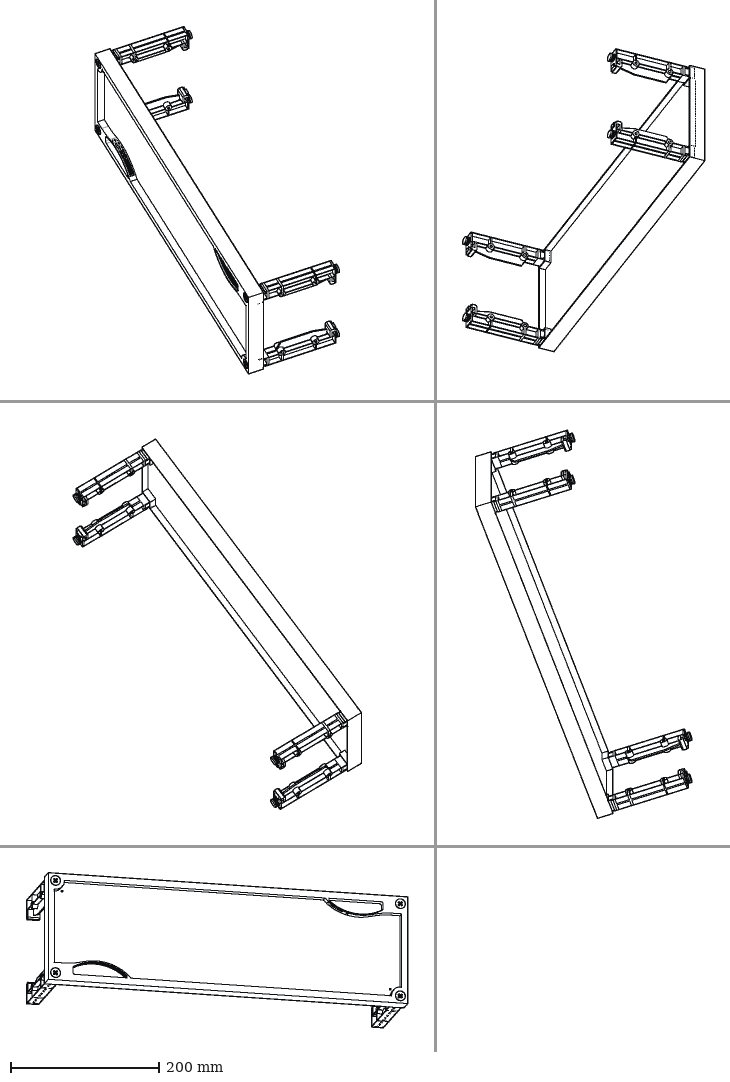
import cadquery as cq
import math


PANEL_LENGTH = 500.0
PANEL_HEIGHT = 150.0
PANEL_DEPTH = 22.5
WALL = 1.75
HALF_LENGTH = PANEL_LENGTH / 2
HALF_HEIGHT = PANEL_HEIGHT / 2

TRAY_DEPTH = 10.0
TRAY_SIDE_MARGIN = 8.5
TRAY_END_MARGIN = 9.5
PLATE_BACK = 13.5

SCREW_INSET = 10.25
CORNER_RADIUS = 12.25
SOCKET_SIZE = 20.5
SOCKET_FLOOR = 15.0

GRIP_CENTRE_INSET = 66.5
GRIP_TOP = 30.5
GRIP_RADIUS = 67.0
GRIP_RIM = 1.75
GRIP_LEFT_INSET = 34.5
GRIP_RIGHT_INSET = 109.5
GRIP_CORNER_RADIUS = 2.5
LEDGE_HEIGHT = 24.5
LEDGE_BLEND_RADIUS = 100.0

RIM_GROOVE_COUNT = 3
RIM_GROOVE_PITCH = 2.5
RIM_GROOVE_WIDTH = 1.0
RIM_GROOVE_DEPTH = 0.25

MARKER_INSET = 21.75
MARKER_RADIUS = 1.0
MARKER_DEPTH = 1.5

HEAD_RADIUS = 6.75
HEAD_DEPTH = 5.0
DOME_HEIGHT = 1.0
SHANK_RADIUS = 3.5
CROSS_LENGTH = 6.5
CROSS_WIDTH = 1.5
CROSS_DEPTH = 2.5

LEG_INSET = 2.0
LEG_WIDTH = 16.5
LEG_DEPTH = 15.5
LEG_START = 25.5
LEG_END = 131.0
WEB_THICKNESS = 2.0
OUTER_FLANGE = 1.0
INNER_FLANGE = 1.0
END_PLATE = 2.0
FOOT_PLATE_START = 28.5
FOOT_PLATE_END = 31.5

FOOT_TOP = 3.5
FOOT_ARM = 2.0
FOOT_BASE = 3.0

RIBS = [(101.0, 1.5, 1.5), (51.0, 3.0, 2.0)]
BOSS_RADIUS = 4.75
BOSS_INSET = 17.25

BLADE_BOTTOM = 30.5
BLADE_FLAT_START = 52.5
BLADE_FLAT_END = 100.0
BLADE_START = 45.0
BLADE_END = 120.5
BLADE_TIP_INSET = 26.0

HOOK_START = 122.0
HOOK_ARM = 3.0
HOOK_FLOOR = 5.0
HOOK_CHAMFER = 2.0
HOOK_FRONT_STEP = 1.5
LIP_REACH = 1.5
LIP_INSET = 4.0
LIP_TOP = 24.0

BUTTON_END = 137.0
BUTTON_LENGTH = 12.5
BUTTON_HEIGHT = 9.5
BUTTON_INSET = 12.25
GROOVE_START = 132.5
GROOVE_END = 134.5
GROOVE_DEPTH = 1.5

LEG_TOP = HALF_HEIGHT - LEG_INSET
LEG_BOTTOM = LEG_TOP - LEG_DEPTH
LEG_LEFT = -HALF_LENGTH + LEG_INSET
LEG_RIGHT = LEG_LEFT + LEG_WIDTH
LEG_CENTRE_X = LEG_LEFT + LEG_WIDTH / 2
SCREW_X = HALF_LENGTH - SCREW_INSET
SCREW_Z = HALF_HEIGHT - SCREW_INSET
GRIP_CENTRE_X = GRIP_CENTRE_INSET - HALF_LENGTH
GRIP_CENTRE_Z = GRIP_TOP - GRIP_RADIUS - HALF_HEIGHT


def block(x_start, x_end, y_start, y_end, z_start, z_end):
    """Box given by its limits along each axis."""
    size = (x_end - x_start, y_end - y_start, z_end - z_start)
    return cq.Workplane("XY").box(*size, centered=False).translate((x_start, y_start, z_start))


def extrude_back(sketch, y_start, y_end):
    """Extrude an XZ sketch drawn at y = 0 so that it fills y_start to y_end."""
    return sketch.extrude(y_start - y_end).translate((0, y_start, 0))


def along_x(sketch, x_start, x_end):
    """Extrude a YZ sketch drawn at x = 0 so that it fills x_start to x_end."""
    return sketch.extrude(x_end - x_start).translate((x_start, 0, 0))


def cylinder_back(x, z, radius, y_start, y_end):
    return extrude_back(cq.Workplane("XZ").center(x, z).circle(radius), y_start, y_end)


def half_turn(shape):
    """Copy of a shape turned half a turn about the middle of the panel."""
    return shape.rotate((0, 0, 0), (0, 1, 0), 180)


def in_corners(shape):
    """The shape mirrored into all four corners of the panel."""
    left = [shape, shape.mirror("XY")]
    return left + [copy.mirror("YZ") for copy in left]


def grip_block(radius, left, y_start, y_end):
    """Block whose arched top is a circle about the centre of the finger grip."""
    disc = cylinder_back(GRIP_CENTRE_X, GRIP_CENTRE_Z, radius, y_start, y_end)
    right = GRIP_CENTRE_X + radius
    base = TRAY_END_MARGIN - HALF_HEIGHT
    return disc.intersect(block(left, right, y_start, y_end, base, GRIP_CENTRE_Z + radius))


def grip_surround(left, base):
    """Material kept around a finger grip: an arch blending into a ledge at the panel end."""
    ledge_z = LEDGE_HEIGHT - HALF_HEIGHT
    ledge = block(left, GRIP_CENTRE_X, 0, TRAY_DEPTH, base, ledge_z)
    surround = grip_block(GRIP_RADIUS, left, 0, TRAY_DEPTH).union(ledge)
    half_chord = math.sqrt(GRIP_RADIUS**2 - (ledge_z - GRIP_CENTRE_Z) ** 2)
    meeting_point = (GRIP_CENTRE_X - half_chord, TRAY_DEPTH / 2, ledge_z)
    meeting_edge = cq.selectors.NearestToPointSelector(meeting_point)
    return surround.edges("|Y").edges(meeting_edge).fillet(LEDGE_BLEND_RADIUS)


def tray():
    """Front recess, leaving material at two screws and around the two finger grips."""
    side = HALF_LENGTH - TRAY_SIDE_MARGIN
    end = HALF_HEIGHT - TRAY_END_MARGIN
    body = block(-side, side, 0, TRAY_DEPTH, -end, end)
    boss = cylinder_back(-SCREW_X, SCREW_Z, CORNER_RADIUS, 0, TRAY_DEPTH)
    boss_side = block(-side, -SCREW_X, 0, TRAY_DEPTH, SCREW_Z - CORNER_RADIUS, end)
    kept = grip_surround(-side, -end).union(boss).union(boss_side)
    return body.cut(kept).cut(half_turn(kept))


def grip_pocket():
    """Pocket behind the arched rim, with grooves running along the rim."""
    left = GRIP_LEFT_INSET - HALF_LENGTH
    right = GRIP_RIGHT_INSET - HALF_LENGTH
    stop = block(right, HALF_LENGTH, 0, TRAY_DEPTH, -HALF_HEIGHT, HALF_HEIGHT)
    inner_radius = GRIP_RADIUS - GRIP_RIM
    pocket = grip_block(inner_radius, left, 0, TRAY_DEPTH).cut(stop)
    pocket = pocket.edges("|Y and <X").fillet(GRIP_CORNER_RADIUS)
    for number in range(1, RIM_GROOVE_COUNT + 1):
        y = number * RIM_GROOVE_PITCH
        groove = grip_block(
            inner_radius + RIM_GROOVE_DEPTH, left + GRIP_CORNER_RADIUS, y, y + RIM_GROOVE_WIDTH
        )
        pocket = pocket.union(groove.cut(stop))
    return pocket


def back_cavity():
    """Hollow behind the plate, leaving a square socket in every corner."""
    x = HALF_LENGTH - WALL
    z = HALF_HEIGHT - WALL
    cavity = block(-x, x, PLATE_BACK, PANEL_DEPTH, -z, z)
    socket_x = SOCKET_SIZE - HALF_LENGTH
    socket_z = HALF_HEIGHT - SOCKET_SIZE
    socket = block(-HALF_LENGTH, socket_x, PLATE_BACK, PANEL_DEPTH, socket_z, HALF_HEIGHT)
    opening = block(-x, socket_x - WALL, SOCKET_FLOOR, PANEL_DEPTH, socket_z + WALL, z)
    for corner in in_corners(socket.cut(opening)):
        cavity = cavity.cut(corner)
    return cavity


def screw_hole():
    head = cylinder_back(-SCREW_X, SCREW_Z, HEAD_RADIUS, 0, HEAD_DEPTH)
    return head.union(cylinder_back(-SCREW_X, SCREW_Z, SHANK_RADIUS, 0, SOCKET_FLOOR))


def make_panel():
    body = block(-HALF_LENGTH, HALF_LENGTH, 0, PANEL_DEPTH, -HALF_HEIGHT, HALF_HEIGHT)
    body = body.cut(tray()).cut(back_cavity())
    marker_x = MARKER_INSET - HALF_LENGTH
    marker_z = HALF_HEIGHT - MARKER_INSET
    marker_end = TRAY_DEPTH + MARKER_DEPTH
    marker = cylinder_back(marker_x, marker_z, MARKER_RADIUS, TRAY_DEPTH, marker_end)
    for cutter in (grip_pocket(), marker):
        body = body.cut(cutter).cut(half_turn(cutter))
    for hole in in_corners(screw_hole()):
        body = body.cut(hole)
    return body


def make_screw():
    """Domed screw with a diagonal cross recess."""
    outline = (
        cq.Workplane("XY")
        .moveTo(0, 0)
        .threePointArc((HEAD_RADIUS / 2, DOME_HEIGHT / 4), (HEAD_RADIUS, DOME_HEIGHT))
        .lineTo(HEAD_RADIUS, HEAD_DEPTH)
        .lineTo(SHANK_RADIUS, HEAD_DEPTH)
        .lineTo(SHANK_RADIUS, SOCKET_FLOOR)
        .lineTo(0, SOCKET_FLOOR)
        .close()
    )
    screw = outline.revolve(360, (0, 0, 0), (0, 1, 0))
    for angle in (45, 135):
        slot = cq.Workplane("XY").box(CROSS_LENGTH, 2 * CROSS_DEPTH, CROSS_WIDTH)
        screw = screw.cut(slot.rotate((0, 0, 0), (0, 1, 0), angle))
    return screw.translate((-SCREW_X, 0, SCREW_Z))


def across(y_start, y_end, z_start, z_end):
    """Part of the leg that spans its whole width."""
    return block(LEG_LEFT, LEG_RIGHT, y_start, y_end, z_start, z_end)


def web_plate(points):
    """Plate in the middle plane of the leg, from (y, inset from the panel top) points."""
    sketch = cq.Workplane("YZ").polyline([(y, HALF_HEIGHT - inset) for y, inset in points]).close()
    return along_x(sketch, LEG_CENTRE_X - WEB_THICKNESS / 2, LEG_CENTRE_X + WEB_THICKNESS / 2)


def leg_beam():
    """I-shaped beam closed by a plate at each end."""
    top = across(LEG_START, LEG_END, LEG_TOP - OUTER_FLANGE, LEG_TOP)
    bottom = across(FOOT_PLATE_START, LEG_END, LEG_BOTTOM, LEG_BOTTOM + INNER_FLANGE)
    foot_plate = across(FOOT_PLATE_START, FOOT_PLATE_END, LEG_BOTTOM, LEG_TOP)
    end_plate = across(LEG_END - END_PLATE, LEG_END, LEG_BOTTOM, LEG_TOP)
    inner = LEG_INSET + LEG_DEPTH
    web = web_plate(
        [
            (FOOT_PLATE_START, LEG_INSET),
            (LEG_END, LEG_INSET),
            (LEG_END, inner),
            (FOOT_PLATE_START, inner),
        ]
    )
    return top.union(bottom).union(foot_plate).union(end_plate).union(web)


def foot():
    """Two arms running from the beam to a base that sits on the socket floor."""
    foot_top = HALF_HEIGHT - FOOT_TOP
    base = across(SOCKET_FLOOR, SOCKET_FLOOR + FOOT_BASE, LEG_BOTTOM, foot_top)
    upper = across(SOCKET_FLOOR, FOOT_PLATE_END, foot_top - FOOT_ARM, foot_top)
    lower = across(SOCKET_FLOOR, FOOT_PLATE_END, LEG_BOTTOM, LEG_BOTTOM + FOOT_ARM)
    return base.union(upper).union(lower)


def blade():
    inner = LEG_INSET + LEG_DEPTH
    return web_plate(
        [
            (BLADE_START, inner),
            (BLADE_FLAT_START, BLADE_BOTTOM),
            (BLADE_FLAT_END, BLADE_BOTTOM),
            (BLADE_END, BLADE_TIP_INSET),
            (BLADE_END, inner),
        ]
    )


def hook():
    """Loop below the end plate with a small lip on its far side."""
    bottom = HALF_HEIGHT - BLADE_BOTTOM
    loop = across(HOOK_START, LEG_END, bottom, LEG_BOTTOM)
    loop = loop.edges("|X and <Z and <Y").chamfer(HOOK_CHAMFER)
    step_top = bottom + HOOK_FRONT_STEP
    loop = loop.cut(across(LEG_END - END_PLATE, LEG_END, bottom, step_top))
    loop = loop.cut(
        across(HOOK_START + HOOK_ARM, LEG_END - END_PLATE, bottom + HOOK_FLOOR, LEG_BOTTOM)
    )
    lip = block(
        LEG_LEFT + LIP_INSET,
        LEG_RIGHT - LIP_INSET,
        LEG_END,
        LEG_END + LIP_REACH,
        step_top,
        HALF_HEIGHT - LIP_TOP,
    )
    return loop.union(lip)


def latch_button():
    """Oblong button with a groove around it."""
    centre_z = HALF_HEIGHT - BUTTON_INSET

    def slab(inset, y_start, y_end):
        sketch = cq.Workplane("XZ").center(-SCREW_X, centre_z)
        sketch = sketch.slot2D(BUTTON_LENGTH - 2 * inset, BUTTON_HEIGHT - 2 * inset)
        return extrude_back(sketch, y_start, y_end)

    collar = slab(0, LEG_END, GROOVE_START)
    neck = slab(GROOVE_DEPTH, GROOVE_START, GROOVE_END)
    cap = slab(0, GROOVE_END, BUTTON_END)
    return collar.union(neck).union(cap)


def make_leg():
    leg = leg_beam().union(foot()).union(blade()).union(hook()).union(latch_button())
    boss_z = HALF_HEIGHT - BOSS_INSET
    for y, thickness, hole_radius in RIBS:
        rib = across(y - thickness / 2, y + thickness / 2, LEG_BOTTOM, LEG_TOP)
        boss = along_x(cq.Workplane("YZ").center(y, boss_z).circle(BOSS_RADIUS), LEG_LEFT, LEG_RIGHT)
        hole = along_x(cq.Workplane("YZ").center(y, boss_z).circle(hole_radius), LEG_LEFT, LEG_RIGHT)
        leg = leg.union(rib).union(boss).cut(hole)
    return leg


panel = make_panel()
screws = in_corners(make_screw())
legs = in_corners(make_leg())

result = cq.Compound.makeCompound(
    [panel.val()] + [screw.val() for screw in screws] + [leg.val() for leg in legs]
)